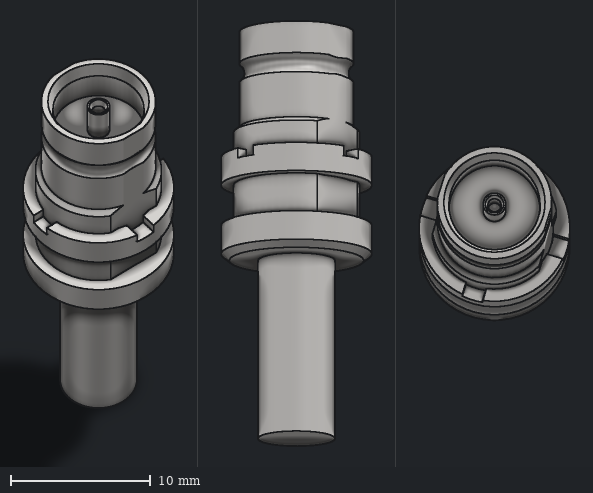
import cadquery as cq

total_height = 29.7
flange_bottom = 13.0
flange_top = 15.55
ring_bottom = 18.5
ring_top = 20.55
shoulder_bottom = 22.35
shoulder_top = 22.7
groove_bottom = 26.0
groove_top = 27.38

cable_tube_radius = 2.75
flange_radius = 5.4
body_radius = 4.5
nose_radius = 4.1
groove_radius = 3.75
flange_chamfer_height = 0.48
flange_chamfer_width = 0.6

across_flats = 8.0
ring_bore_radius = 4.22
slot_width = 1.5
slot_depth = 0.7

socket_mouth_radius = 3.62
socket_radius = 3.27
socket_taper_depth = 0.9
socket_depth = 3.0
pin_radius = 0.8
pin_recess = 0.55
pin_bore_radius = 0.48
pin_bore_mouth_radius = 0.65
pin_bore_taper_height = 0.48
pin_bore_depth = 2.08


def cylinder(radius, bottom, top):
    return cq.Workplane("XY").workplane(offset=bottom).circle(radius).extrude(top - bottom)


def revolved(profile):
    return cq.Workplane("XZ").polyline(profile).close().revolve(360, (0, 0), (0, 1))


def cut_cross(part, width, length, bottom, top):
    """Cut two crossed slots, along X and along Y, between two heights."""
    for length_x, length_y in ((length, width), (width, length)):
        slot = cq.Workplane("XY").workplane(offset=bottom).rect(length_x, length_y).extrude(top - bottom)
        part = part.cut(slot)
    return part


def flatted_body():
    """Stepped body with a nose groove, cut by two flats facing -X and +X."""
    groove_middle = (groove_bottom + groove_top) / 2
    body = (
        cq.Workplane("XZ")
        .moveTo(0, flange_bottom)
        .lineTo(body_radius, flange_bottom)
        .lineTo(body_radius, shoulder_bottom)
        .lineTo(nose_radius, shoulder_top)
        .lineTo(nose_radius, groove_bottom)
        .threePointArc((groove_radius, groove_middle), (nose_radius, groove_top))
        .lineTo(nose_radius, total_height)
        .lineTo(0, total_height)
        .close()
        .revolve(360, (0, 0), (0, 1))
    )
    flats = cq.Workplane("XY").rect(across_flats, 2 * flange_radius).extrude(total_height)
    return body.intersect(flats)


def flange():
    """Lower flange with its bottom edge chamfered."""
    return revolved([
        (0, flange_bottom),
        (flange_radius - flange_chamfer_width, flange_bottom),
        (flange_radius, flange_bottom + flange_chamfer_height),
        (flange_radius, flange_top),
        (0, flange_top),
    ])


def slotted_ring():
    """Upper ring, bored to clear the body flats, with four radial slots in its top face."""
    ring = cylinder(flange_radius, ring_bottom, ring_top)
    ring = cut_cross(ring, slot_width, 2 * flange_radius, ring_top - slot_depth, ring_top)
    return ring.cut(cylinder(ring_bore_radius, ring_bottom, ring_top))


def socket():
    """Void of the socket: a tapered mouth above a straight bore."""
    return revolved([
        (0, total_height - socket_depth),
        (socket_radius, total_height - socket_depth),
        (socket_radius, total_height - socket_taper_depth),
        (socket_mouth_radius, total_height),
        (0, total_height),
    ])


def contact_pin():
    """Centre contact with a blind bore and a countersunk mouth."""
    pin_top = total_height - pin_recess
    pin = cylinder(pin_radius, total_height - socket_depth, pin_top)
    bore = revolved([
        (0, pin_top - pin_bore_depth),
        (pin_bore_radius, pin_top - pin_bore_depth),
        (pin_bore_radius, pin_top - pin_bore_taper_height),
        (pin_bore_mouth_radius, pin_top),
        (0, pin_top),
    ])
    return pin.cut(bore)


cable_tube = cylinder(cable_tube_radius, 0, flange_bottom)
result = cable_tube.union(flatted_body()).union(flange()).union(slotted_ring())
result = result.cut(socket()).union(contact_pin())